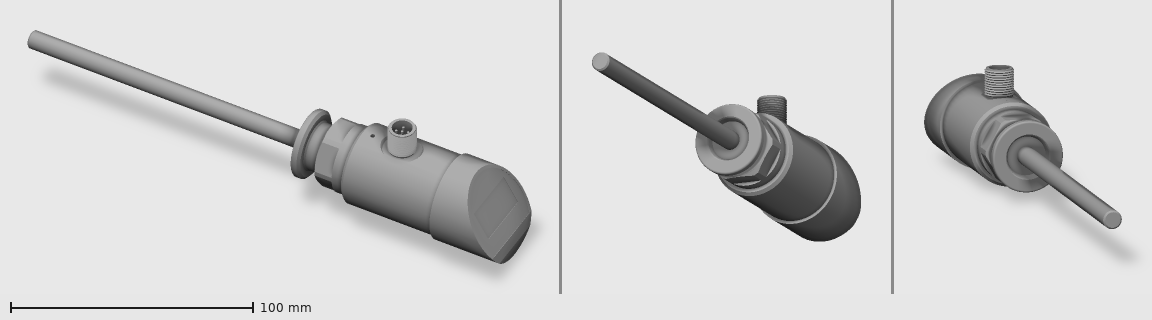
import cadquery as cq
import math

TOTAL_LENGTH = 227.5

ROD_DIAMETER = 8.0
ROD_TIP_CHAMFER = 0.7

FLANGE_FRONT_X = 130.0
FLANGE_DIAMETER = 30.0
FLANGE_BACK_DIAMETER = 27.3
FLANGE_RIM_FILLET = 0.8
FLANGE_RIM_LENGTH = 3.0
FLANGE_LENGTH = 4.0
RECESS_MOUTH_DIAMETER = 18.2
RECESS_FLOOR_DIAMETER = 16.4
RECESS_DEPTH = 2.7
RECESS_CHAMFER = 0.5
NECK_DIAMETER = 21.0
NECK_ROOT_CHAMFER = 0.7
HEX_FRONT_X = 140.5
HEX_SIDES = 6
HEX_TURN = 180 / HEX_SIDES
HEX_ACROSS_FLATS = 27.0
HEX_FACE_DIAMETER = 26.0
HEX_CHAMFER_LENGTH = 1.1
HEX_LENGTH = 9.0
COLLAR_DIAMETER = 30.0

HOUSING_FRONT_X = 154.7
HOUSING_DIAMETER = 35.5
HOUSING_FACE_DIAMETER = 33.0
HOUSING_CHAMFER_LENGTH = 1.4
VENT_X = 160.7
VENT_DIAMETER = 2.0
VENT_DEPTH = 1.8

CONNECTOR_X = 174.5
CONNECTOR_TOP_Z = 28.7
SPOTFACE_DEPTH = 1.25
SPOTFACE_Z = HOUSING_DIAMETER / 2 - SPOTFACE_DEPTH
SPOTFACE_DIAMETER = 16.5
SPOTFACE_RIM_DIAMETER = 18.7
SPOTFACE_WALL_HEIGHT = 1.4
THREAD_DIAMETER = 12.3
THREAD_ROOT_DIAMETER = 11.1
THREAD_PITCH = 1.0
THREAD_TURNS = 11
THREAD_TIP_LENGTH = 0.5
SOCKET_DIAMETER = 8.6
SOCKET_DEPTH = 8.0

OUTER_PIN_COUNT = 4
PIN_DIAMETER = 1.0
PIN_CIRCLE_RADIUS = 2.5
PIN_LENGTH = 6.0
PIN_FIRST_ANGLE = 17.0

CAP_FRONT_X = 197.7
CAP_DIAMETER = 38.0
CAP_RADIUS = CAP_DIAMETER / 2
DISPLAY_TOP_X = 209.3
DISPLAY_BOTTOM_X = 226.2
DISPLAY_BOTTOM_Z = -8.9
NOSE_Z = -13.7
PANEL_DIAMETER = 35.5
PANEL_DEPTH = 0.2
WINDOW_START_X = 215.5
WINDOW_END_X = 222.3
WINDOW_WIDTH = 25.5
WINDOW_DEPTH = 0.5


def turned(profile):
    """Solid of revolution about the X axis from (x, radius) points."""
    return cq.Workplane("XY").polyline(profile).close().revolve(360, (0, 0, 0), (1, 0, 0))


def cylinder_along_x(start_x, end_x, diameter):
    return cq.Workplane("YZ", origin=(start_x, 0, 0)).circle(diameter / 2).extrude(end_x - start_x)


def cylinder_along_z(x, y, bottom_z, top_z, diameter):
    return cq.Workplane("XY", origin=(x, y, bottom_z)).circle(diameter / 2).extrude(top_z - bottom_z)


def make_turned_body():
    """Flange, neck, collar and housing in one profile; the hexagon goes around the neck."""
    rim_end_x = FLANGE_FRONT_X + FLANGE_RIM_LENGTH
    flange_back_x = FLANGE_FRONT_X + FLANGE_LENGTH
    hex_end_x = HEX_FRONT_X + HEX_LENGTH
    body = turned([
        (FLANGE_FRONT_X, 0),
        (FLANGE_FRONT_X, FLANGE_DIAMETER / 2),
        (rim_end_x, FLANGE_DIAMETER / 2),
        (flange_back_x, FLANGE_BACK_DIAMETER / 2),
        (flange_back_x, NECK_DIAMETER / 2 + NECK_ROOT_CHAMFER),
        (flange_back_x + NECK_ROOT_CHAMFER, NECK_DIAMETER / 2),
        (hex_end_x, NECK_DIAMETER / 2),
        (hex_end_x, COLLAR_DIAMETER / 2),
        (HOUSING_FRONT_X, COLLAR_DIAMETER / 2),
        (HOUSING_FRONT_X, HOUSING_FACE_DIAMETER / 2),
        (HOUSING_FRONT_X + HOUSING_CHAMFER_LENGTH, HOUSING_DIAMETER / 2),
        (CAP_FRONT_X, HOUSING_DIAMETER / 2),
        (CAP_FRONT_X, 0),
    ])
    return body.faces("<X").edges().fillet(FLANGE_RIM_FILLET)


def make_hexagon():
    hex_end_x = HEX_FRONT_X + HEX_LENGTH
    prism = (
        cq.Workplane("YZ", origin=(HEX_FRONT_X, 0, 0))
        .polygon(HEX_SIDES, HEX_ACROSS_FLATS, circumscribed=True)
        .extrude(HEX_LENGTH)
        .rotate((0, 0, 0), (1, 0, 0), HEX_TURN)
    )
    chamfer_end_x = HEX_FRONT_X + HEX_CHAMFER_LENGTH
    envelope = turned([
        (HEX_FRONT_X, 0),
        (HEX_FRONT_X, HEX_FACE_DIAMETER / 2),
        (chamfer_end_x, COLLAR_DIAMETER / 2),
        (hex_end_x, COLLAR_DIAMETER / 2),
        (hex_end_x, 0),
    ])
    return prism.intersect(envelope)


def make_recess():
    """Tapered recess around the rod in the flange face."""
    recess_floor_x = FLANGE_FRONT_X + RECESS_DEPTH
    return turned([
        (FLANGE_FRONT_X, 0),
        (FLANGE_FRONT_X, RECESS_MOUTH_DIAMETER / 2 + RECESS_CHAMFER),
        (FLANGE_FRONT_X + RECESS_CHAMFER, RECESS_MOUTH_DIAMETER / 2),
        (recess_floor_x, RECESS_FLOOR_DIAMETER / 2),
        (recess_floor_x, 0),
    ])


def make_rod():
    rod_end_x = FLANGE_FRONT_X + RECESS_DEPTH
    return cylinder_along_x(0, rod_end_x, ROD_DIAMETER).faces("<X").chamfer(ROD_TIP_CHAMFER)


def make_connector():
    """Threaded sleeve, its thread a stack of rings."""
    root = THREAD_ROOT_DIAMETER / 2
    crest = THREAD_DIAMETER / 2
    thread_start_z = CONNECTOR_TOP_Z - THREAD_TIP_LENGTH - THREAD_TURNS * THREAD_PITCH
    profile = [(0, 0), (root, 0), (root, thread_start_z)]
    for turn in range(THREAD_TURNS):
        ring_z = thread_start_z + turn * THREAD_PITCH
        profile.append((crest, ring_z + THREAD_PITCH / 2))
        profile.append((root, ring_z + THREAD_PITCH))
    profile.append((root, CONNECTOR_TOP_Z))
    profile.append((0, CONNECTOR_TOP_Z))
    sleeve = cq.Workplane("XZ").polyline(profile).close().revolve(360, (0, 0, 0), (0, 1, 0))
    return sleeve.translate((CONNECTOR_X, 0, 0))


def make_spotface():
    """Round seat with a flared wall, sunk into the housing around the connector."""
    return (
        cq.Workplane("XY", origin=(CONNECTOR_X, 0, SPOTFACE_Z))
        .circle(SPOTFACE_DIAMETER / 2)
        .workplane(offset=SPOTFACE_WALL_HEIGHT)
        .circle(SPOTFACE_RIM_DIAMETER / 2)
        .loft()
    )


def make_sensor_body():
    socket_floor_z = CONNECTOR_TOP_Z - SOCKET_DEPTH
    socket = cylinder_along_z(CONNECTOR_X, 0, socket_floor_z, CONNECTOR_TOP_Z, SOCKET_DIAMETER)
    housing_top_z = HOUSING_DIAMETER / 2
    vent = cylinder_along_z(VENT_X, 0, housing_top_z - VENT_DEPTH, housing_top_z, VENT_DIAMETER)
    body = make_turned_body().cut(make_recess()).union(make_rod()).union(make_hexagon())
    body = body.cut(make_spotface()).union(make_connector())
    return body.cut(socket).cut(vent)


def pin_places():
    """Centre of the socket, then the pins equally spaced around it."""
    places = [(CONNECTOR_X, 0)]
    for index in range(OUTER_PIN_COUNT):
        angle = math.radians(PIN_FIRST_ANGLE + index * 360 / OUTER_PIN_COUNT)
        x = CONNECTOR_X + PIN_CIRCLE_RADIUS * math.cos(angle)
        y = PIN_CIRCLE_RADIUS * math.sin(angle)
        places.append((x, y))
    return places


def make_pin(x, y):
    floor_z = CONNECTOR_TOP_Z - SOCKET_DEPTH
    return cylinder_along_z(x, y, floor_z, floor_z + PIN_LENGTH, PIN_DIAMETER)


def display_slab(start_x, end_x, width, depth):
    """Box reaching a depth below the display face between two places along X."""
    slope_x = DISPLAY_BOTTOM_X - DISPLAY_TOP_X
    slope_z = DISPLAY_BOTTOM_Z - CAP_RADIUS
    middle_x = (start_x + end_x) / 2
    middle_z = CAP_RADIUS + (middle_x - DISPLAY_TOP_X) * slope_z / slope_x
    length = (end_x - start_x) * math.hypot(slope_x, slope_z) / slope_x
    display_plane = cq.Plane(
        origin=(middle_x, 0, middle_z), xDir=(slope_x, 0, slope_z), normal=(-slope_z, 0, slope_x)
    )
    return cq.Workplane(display_plane).rect(length, width).extrude(-depth)


def make_cap():
    side_profile = (
        cq.Workplane("XZ", origin=(0, CAP_RADIUS, 0))
        .moveTo(CAP_FRONT_X, -CAP_RADIUS)
        .lineTo(CAP_FRONT_X, CAP_RADIUS)
        .lineTo(DISPLAY_TOP_X, CAP_RADIUS)
        .lineTo(DISPLAY_BOTTOM_X, DISPLAY_BOTTOM_Z)
        .lineTo(TOTAL_LENGTH, NOSE_Z)
        .lineTo(TOTAL_LENGTH, -CAP_RADIUS)
        .close()
        .extrude(CAP_DIAMETER)
    )
    cap = cylinder_along_x(CAP_FRONT_X, TOTAL_LENGTH, CAP_DIAMETER).intersect(side_profile)
    panel_outline = cylinder_along_x(CAP_FRONT_X, TOTAL_LENGTH, PANEL_DIAMETER)
    panel = display_slab(DISPLAY_TOP_X, DISPLAY_BOTTOM_X, PANEL_DIAMETER, PANEL_DEPTH)
    panel = panel.intersect(panel_outline)
    window = display_slab(WINDOW_START_X, WINDOW_END_X, WINDOW_WIDTH, WINDOW_DEPTH)
    return cap.cut(panel).cut(window)


sensor_body = make_sensor_body()
cap = make_cap()
pins = [make_pin(x, y) for x, y in pin_places()]

result = cq.Compound.makeCompound([
    sensor_body.val(),
    cap.val(),
    *[pin.val() for pin in pins],
])